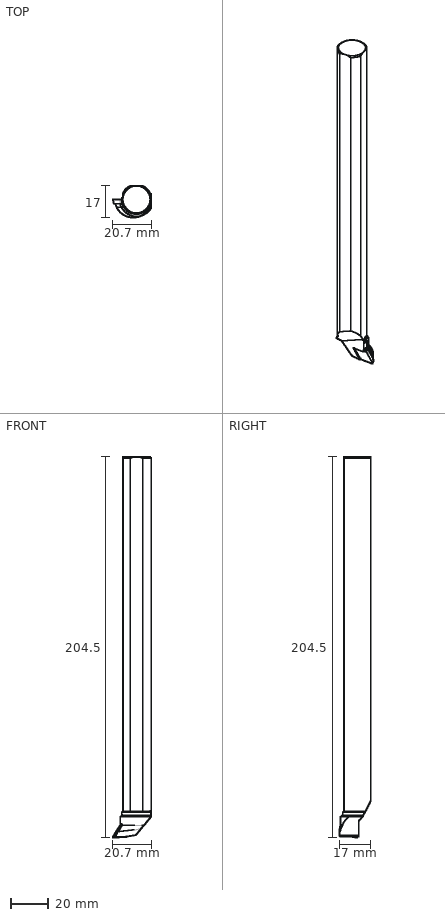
import cadquery as cq
import math


total_length = 204.45
shank_radius = 8.0
flat_offset = 7.25
shank_bottom = 14.3
end_chamfer = 0.7

collar_radius = 7.9
collar_chamfer = 0.6
collar_bottom = 12.2
head_radius = 9.1
head_shoulder = 11.2
flare_top = 6.7

flare_shift_x = -3.6
flare_shift_y = -1.4
flare_growth = 0.5
flare_radius = head_radius + flare_growth
swell_radius = 10.0
swell_x = -1.7
swell_y = 0.21

holder_end = 0.6
holder_end_x = -5.0
heel_x = -0.35
heel_z = 1.4
back_top_z = 11.4

tip_x = -12.73
tip_angle = 55.0
end_angle = 3.0
nose_radius = 0.4
insert_circle = 6.35
insert_thickness = 2.38
clearance_angle = 7.0
rake_y = 0.0
edge_length = insert_circle / math.sin(math.radians(tip_angle))
side_angle = end_angle + tip_angle

seat_margin = 0.2
relief_y = rake_y - insert_thickness - seat_margin
relief_x = -7.6
seat_face_depth = 1.6
holder_corner_x = -11.5

chip_face_y = 0.8
ramp_start_x = 5.5
ramp_start_z = 9.2
ramp_rise = 0.65
ramp_lean = 0.28

cut_size = 40.0


def polar(length, angle):
    """X and Z parts of a length at an angle to the X axis."""
    return length * math.cos(math.radians(angle)), length * math.sin(math.radians(angle))


def insert_outline():
    """Closed rhombus outline on the rake plane; its rounded tip reaches tip_x and Z = 0."""
    corner_x, corner_z = polar(nose_radius / math.sin(math.radians(tip_angle / 2)), end_angle + tip_angle / 2)
    start_x = tip_x + nose_radius - corner_x
    start_z = nose_radius - corner_z
    end_dx, end_dz = polar(edge_length, end_angle)
    side_dx, side_dz = polar(edge_length, side_angle)
    return (
        cq.Workplane("XZ", origin=(0, rake_y, 0))
        .moveTo(start_x, start_z)
        .line(end_dx, end_dz)
        .line(side_dx, side_dz)
        .line(-end_dx, -end_dz)
        .close()
    )


def make_insert():
    blank = insert_outline().extrude(insert_thickness, taper=clearance_angle)
    return blank.edges("not(<Y or >Y)").fillet(nose_radius)


def make_shank():
    bar = cq.Workplane("XY", origin=(0, 0, shank_bottom)).circle(shank_radius)
    bar = bar.extrude(total_length - shank_bottom).faces(">Z").chamfer(end_chamfer)
    flats = cq.Workplane("XY").box(
        flat_offset + shank_radius, 2 * flat_offset, total_length, centered=(False, True, False)
    )
    return bar.intersect(flats.translate((-flat_offset, 0, 0)))


def make_neck():
    """Collar, sloped shoulder and head, turned about the Z axis."""
    return (
        cq.Workplane("XZ")
        .moveTo(0, flare_top)
        .lineTo(head_radius, flare_top)
        .lineTo(head_radius, head_shoulder)
        .lineTo(collar_radius, collar_bottom)
        .lineTo(collar_radius, shank_bottom - collar_chamfer)
        .lineTo(collar_radius - collar_chamfer, shank_bottom)
        .lineTo(0, shank_bottom)
        .close()
        .revolve(360, (0, 0), (0, 1))
    )


def make_flare():
    leaning = (
        cq.Workplane("XY", origin=(0, 0, flare_top))
        .circle(head_radius)
        .workplane(offset=-flare_top)
        .center(flare_shift_x, flare_shift_y)
        .circle(flare_radius)
        .loft(ruled=True)
    )
    envelope = cq.Workplane("XY").center(swell_x, swell_y).circle(swell_radius).extrude(flare_top)
    return leaning.intersect(envelope)


def head_profile():
    """Keeps the head above its end face and inside its slanted back."""
    return (
        cq.Workplane("XZ", origin=(0, cut_size / 2, 0))
        .moveTo(tip_x, holder_end)
        .lineTo(holder_end_x, holder_end)
        .lineTo(heel_x, heel_z)
        .lineTo(shank_radius, back_top_z)
        .lineTo(shank_radius, shank_bottom)
        .lineTo(tip_x, shank_bottom)
        .close()
        .extrude(cut_size)
    )


def side_relief():
    """Upright flat above the insert."""
    return cq.Workplane("XY", origin=(relief_x - cut_size, relief_y, flare_top)).box(
        cut_size, cut_size, collar_bottom - flare_top, centered=False
    )


def flank_relief():
    """Slanted flat beside the insert, parallel to its side edge."""
    run, rise = polar(cut_size, side_angle)
    depth = cut_size / 2
    return (
        cq.Workplane("XZ", origin=(0, depth, 0))
        .moveTo(holder_corner_x, holder_end)
        .line(run * flare_top / rise, flare_top)
        .lineTo(-cut_size, holder_end + flare_top)
        .lineTo(-cut_size, holder_end)
        .close()
        .extrude(depth - relief_y + seat_face_depth)
    )


def chip_space():
    """Material removed on the +Y side, up to the leaning ramp."""
    far_y = cut_size / 2
    ramp_top = (far_y - chip_face_y) / ramp_rise
    ridge_drop = ramp_lean / ramp_rise

    def section(x):
        ridge_z = ramp_start_z - ridge_drop * (x - ramp_start_x)
        points = [
            (chip_face_y, -cut_size),
            (chip_face_y, ridge_z),
            (far_y, ridge_z + ramp_top),
            (far_y, -cut_size),
        ]
        return cq.Wire.makePolygon([cq.Vector(x, y, z) for y, z in points], close=True)

    return cq.Workplane(cq.Solid.makeLoft([section(-far_y), section(far_y)], True))


insert = make_insert()

holder = make_neck().union(make_flare()).intersect(head_profile())
holder = holder.cut(side_relief()).cut(flank_relief())
holder = holder.union(make_shank()).cut(chip_space())
holder = holder.cut(insert).cut(insert_outline().extrude(-chip_face_y))

result = cq.Compound.makeCompound([holder.solids().val(), insert.solids().val()])